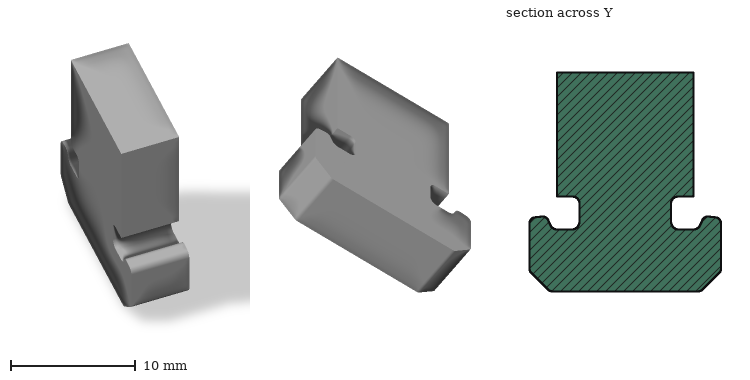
import cadquery as cq
import math

thickness = 5.0
overall_height = 17.6
base_width = 15.4
stem_width = 11.0
neck_width = 7.4
stem_bottom = 7.6
groove_floor = 5.0
lip_height = 6.08
lip_flat_width = 1.38
lip_slope = math.radians(6)
lip_flank_angle = math.radians(66.5)
chamfer_width = 1.65
chamfer_height = 1.63

neck_radius = 0.5
groove_radius = 0.6
lip_radius = 0.5
chamfer_radius = 0.4

half_base = base_width / 2
half_stem = stem_width / 2
half_neck = neck_width / 2

lip_inner_x = half_base - lip_flat_width
lip_outer_z = lip_height - lip_flat_width * math.tan(lip_slope)
groove_outer_x = lip_inner_x - (lip_height - groove_floor) / math.tan(lip_flank_angle)

half_profile = [
    ((half_base - chamfer_width, 0), chamfer_radius),
    ((half_base, chamfer_height), chamfer_radius),
    ((half_base, lip_outer_z), lip_radius),
    ((lip_inner_x, lip_height), lip_radius),
    ((groove_outer_x, groove_floor), groove_radius),
    ((half_neck, groove_floor), groove_radius),
    ((half_neck, stem_bottom), neck_radius),
    ((half_stem, stem_bottom), 0),
    ((half_stem, overall_height), 0),
]


def extrude_profile():
    """Full sharp-cornered profile, extruded through the thickness and centred on Y = 0."""
    right_side = [corner for corner, _ in half_profile]
    left_side = [(-x, z) for x, z in reversed(right_side)]
    outline = cq.Workplane("XZ").polyline(right_side + left_side).close()
    return outline.extrude(thickness / 2, both=True)


def round_corner_pair(body, corner, radius):
    """Round the matching through-thickness edges on the +X and -X sides."""
    x, z = corner
    for side_x in (x, -x):
        nearest = cq.selectors.NearestToPointSelector((side_x, 0, z))
        body = body.edges("|Y").edges(nearest).fillet(radius)
    return body


result = extrude_profile()
for profile_corner, corner_radius in half_profile:
    if corner_radius > 0:
        result = round_corner_pair(result, profile_corner, corner_radius)